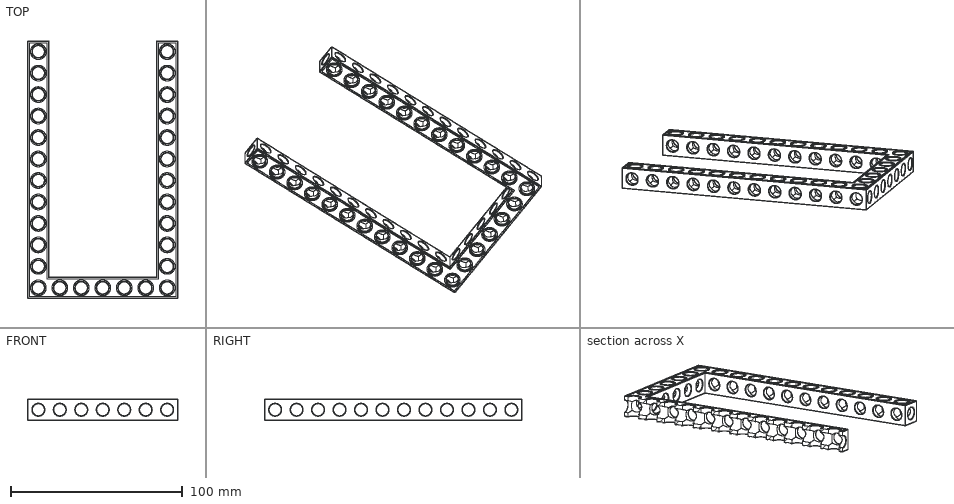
import cadquery as cq

length = 150.0
cells_long = 12
cells_wide = 7
pitch = length / cells_long
width = cells_wide * pitch
height = pitch
opening_width = width - 2 * pitch

hole_diameter = 7.0
ring_diameter = 9.2
edge_chamfer = 0.3

rim_width = 1.1
recess_depth = 0.2


def cell_centers(count):
    """Coordinates of a row of cell centres, symmetric about zero."""
    return [(i - (count - 1) / 2) * pitch for i in range(count)]


x_centers = cell_centers(cells_wide)
y_centers = cell_centers(cells_long)
base_cells = [(x, y_centers[0]) for x in x_centers]
leg_cells = [(x, y) for x in (x_centers[0], x_centers[-1]) for y in y_centers[1:]]


def u_block(inset, thickness):
    """U-shaped block open towards +Y, with its whole outline moved inwards by inset."""
    outer = cq.Workplane("XY").box(width - 2 * inset, length - 2 * inset, thickness)
    opening = (
        cq.Workplane("XY")
        .box(opening_width + 2 * inset, length, thickness)
        .translate((0, pitch - inset, 0))
    )
    return outer.cut(opening)


def cylinders(plane, points, diameter, depth):
    """Cylinders at the points, centred on the plane."""
    return cq.Workplane(plane).pushPoints(points).circle(diameter / 2).extrude(depth / 2, both=True)


def make_frame():
    """Chamfered U with bores along all three axes."""
    frame = u_block(0, height)
    frame = frame.faces("<Y or >Y").edges("|Z").chamfer(edge_chamfer)

    bores = [
        cylinders("XY", base_cells + leg_cells, hole_diameter, height),
        cylinders("XZ", [(x, 0) for x in x_centers], hole_diameter, length),
        cylinders("YZ", [(y, 0) for y in y_centers], hole_diameter, width),
    ]
    for bore in bores:
        frame = frame.cut(bore)

    return frame.faces("%PLANE").edges("not |Z").chamfer(edge_chamfer)


def cut_recesses(frame):
    """Sink the top and bottom faces between the rim and the hole rings."""
    rings = cylinders("XY", base_cells + leg_cells, ring_diameter, recess_depth)
    recess = u_block(rim_width, recess_depth).cut(rings)
    recess_z = (height - recess_depth) / 2
    for z in (recess_z, -recess_z):
        frame = frame.cut(recess.translate((0, 0, z)))
    return frame


result = cut_recesses(make_frame())